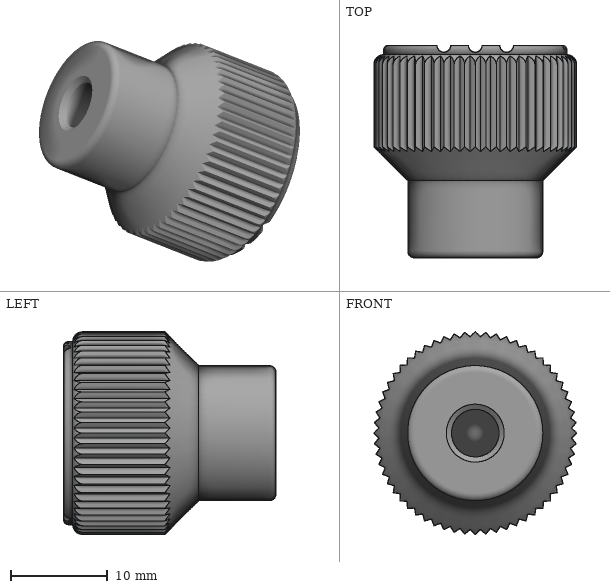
import cadquery as cq
import math


stem_radius = 14.0 / 2
stem_length = 8.0
stem_edge_round = 0.7

head_radius = 21.0 / 2
head_end = 21.05
head_edge_round = 1.05
cone_end = stem_length + head_radius - stem_radius

tooth_count = 60
tooth_depth = 0.5
root_radius = head_radius - tooth_depth
half_pitch = math.pi / tooth_count

cap_radius = 19.0 / 2
cap_end = 22.0
cap_edge_round = 0.5
notch_count = 3
notch_radius = 0.7
notch_pitch_angle = math.radians(20)
notch_spacing = cap_radius * math.sin(notch_pitch_angle)

hole_radius = 4.92 / 2
hole_mouth_radius = 6.0 / 2
hole_depth = 12.0
mouth_depth = hole_mouth_radius - hole_radius


def make_stem():
    """Plain cylinder with a rounded free edge."""
    stem = cq.Workplane("XZ").circle(stem_radius).extrude(-stem_length)
    return stem.faces("<Y").edges().fillet(stem_edge_round)


def make_head_blank():
    """Cone and cylinder of the head before the teeth are cut."""
    return (
        cq.Workplane("XY")
        .moveTo(0, stem_length)
        .lineTo(stem_radius, stem_length)
        .lineTo(head_radius, cone_end)
        .lineTo(head_radius, head_end - head_edge_round)
        .radiusArc((head_radius - head_edge_round, head_end), -head_edge_round)
        .lineTo(0, head_end)
        .close()
        .revolve(360, (0, 0, 0), (0, 1, 0))
    )


def make_tooth_prism():
    """Star-shaped prism, with crests on the X and Z axes, that limits the head."""
    outline = []
    for step in range(2 * tooth_count):
        radius = root_radius if step % 2 else head_radius
        angle = step * half_pitch
        outline.append((radius * math.cos(angle), radius * math.sin(angle)))
    return cq.Workplane("XZ").polyline(outline).close().extrude(-head_end)


def make_cap():
    """Disc with a rounded rim and a row of notches running along Z."""
    cap = (
        cq.Workplane("XZ", origin=(0, head_end, 0))
        .circle(cap_radius)
        .extrude(head_end - cap_end)
        .faces(">Y")
        .edges()
        .fillet(cap_edge_round)
    )
    for index in range(notch_count):
        notch_x = (index - (notch_count - 1) / 2) * notch_spacing
        notch = (
            cq.Workplane("XY")
            .center(notch_x, cap_end)
            .circle(notch_radius)
            .extrude(cap_radius, both=True)
        )
        cap = cap.cut(notch)
    return cap


def make_hole():
    """Flat-bottomed bore with a 45 degree countersunk mouth."""
    return (
        cq.Workplane("XY")
        .moveTo(0, 0)
        .lineTo(hole_mouth_radius, 0)
        .lineTo(hole_radius, mouth_depth)
        .lineTo(hole_radius, hole_depth)
        .lineTo(0, hole_depth)
        .close()
        .revolve(360, (0, 0, 0), (0, 1, 0))
    )


head = make_head_blank().intersect(make_tooth_prism())
result = make_stem().union(head).union(make_cap()).cut(make_hole())